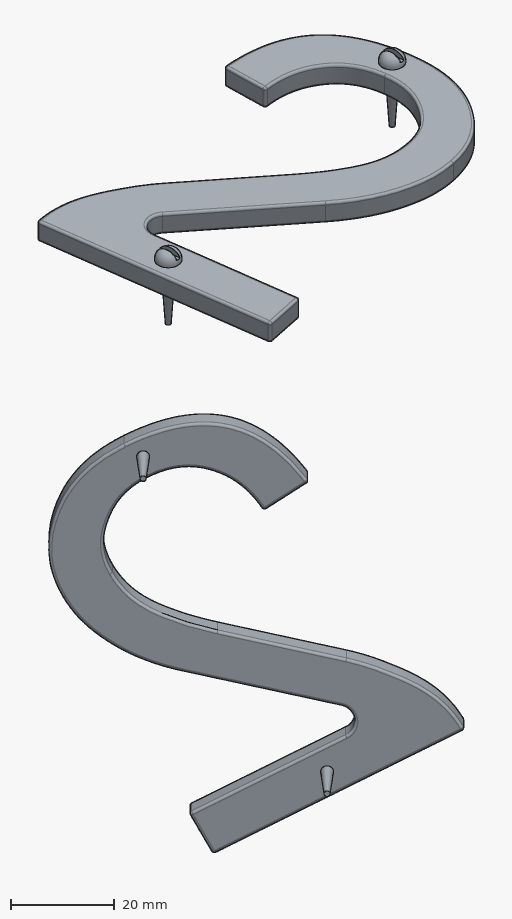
import cadquery as cq

WIDTH = 55.1
HEIGHT = 83.7
THICKNESS = 5.0
FOOT_HEIGHT = 9.8
CROTCH_RADIUS = 3.35
EDGE_RADIUS = 0.6

OUTER_TOP = (29.55, HEIGHT)
OUTER_RIGHT = (WIDTH, 61.1)
INNER_TOP = (28.8, 75.3)
INNER_RIGHT = (44.3, 61.1)
TIP_OUTER = (1.9, 59.85)
TIP_INNER = (12.5, 58.7)
STEM_LOWER_TOP = (42.3, 36.6)
STEM_UPPER_TOP = (32.1, 40.8)
STEM_UPPER_BOTTOM = (13.05, 23.85)
CROTCH = (12.0, FOOT_HEIGHT)
SHARP_CORNERS = [(0, 0), (WIDTH, 0), (WIDTH, FOOT_HEIGHT), TIP_INNER, TIP_OUTER]

SCREW_X = WIDTH / 2
SCREW_HEIGHTS = (4.85, 79.7)
HEAD_RADIUS = 2.7
SLOT_WIDTH = 1.0
SLOT_FLOOR = 1.1
SHANK_RADIUS = 1.25
TIP_RADIUS = 0.6
SPIKE_LENGTH = 10.8

UP = (0, 1)
DOWN = (0, -1)
LEFT = (-1, 0)
RIGHT = (1, 0)


def direction(start, end):
    return (end[0] - start[0], end[1] - start[1])


def upright_edges(plate, corners):
    """Vertical edges of the plate that stand on the given outline corners."""
    found = plate.newObject([])
    for corner in corners:
        nearest = cq.selectors.NearestToPointSelector((*corner, THICKNESS / 2))
        found = found.add(plate.edges("|Z").edges(nearest))
    return found


def make_numeral():
    """Rounded-edge plate in the shape of a 2, with a through hole for each screw."""
    upper_stem = direction(STEM_UPPER_BOTTOM, STEM_UPPER_TOP)
    lower_stem = direction(STEM_LOWER_TOP, CROTCH)
    tip_in = (-0.05, -1)
    tip_out = (0.12, 1)
    outline = (
        cq.Workplane("XY")
        .spline([(0, 0), (6.5, 16.7), STEM_UPPER_BOTTOM], tangents=[UP, upper_stem])
        .lineTo(*STEM_UPPER_TOP)
        .spline([STEM_UPPER_TOP, (39.2, 48.05), INNER_RIGHT], tangents=[upper_stem, UP])
        .spline([INNER_RIGHT, (39.9, 71.0), INNER_TOP], tangents=[UP, LEFT])
        .spline([INNER_TOP, (17.25, 70.7), TIP_INNER], tangents=[LEFT, tip_in])
        .lineTo(*TIP_OUTER)
        .spline([TIP_OUTER, (8.45, 76.2), OUTER_TOP], tangents=[tip_out, RIGHT])
        .spline([OUTER_TOP, (49.05, 76.2), OUTER_RIGHT], tangents=[RIGHT, DOWN])
        .spline([OUTER_RIGHT, (53.0, 51.1), STEM_LOWER_TOP], tangents=[DOWN, lower_stem])
        .lineTo(*CROTCH)
        .lineTo(WIDTH, FOOT_HEIGHT)
        .lineTo(WIDTH, 0)
        .close()
    )
    plate = outline.extrude(THICKNESS)
    plate = upright_edges(plate, [CROTCH]).fillet(CROTCH_RADIUS)
    rims = plate.faces("|Z").edges()
    plate = rims.add(upright_edges(plate, SHARP_CORNERS)).fillet(EDGE_RADIUS)
    holes = (
        cq.Workplane("XY")
        .pushPoints([(SCREW_X, y) for y in SCREW_HEIGHTS])
        .circle(SHANK_RADIUS)
        .extrude(THICKNESS)
    )
    return plate.cut(holes)


def make_screw(y):
    """Slotted round-head screw with a straight shank in the plate and a tapered spike behind it."""
    dome_end = HEAD_RADIUS * 0.5**0.5
    screw = (
        cq.Workplane("XZ")
        .moveTo(0, -SPIKE_LENGTH)
        .lineTo(TIP_RADIUS, -SPIKE_LENGTH)
        .lineTo(SHANK_RADIUS, 0)
        .lineTo(SHANK_RADIUS, THICKNESS)
        .lineTo(HEAD_RADIUS, THICKNESS)
        .threePointArc((dome_end, THICKNESS + dome_end), (0, THICKNESS + HEAD_RADIUS))
        .close()
        .revolve(360, (0, 0, 0), (0, 1, 0))
    )
    slot = (
        cq.Workplane("XY", origin=(0, 0, THICKNESS + SLOT_FLOOR))
        .rect(2 * HEAD_RADIUS, SLOT_WIDTH)
        .extrude(HEAD_RADIUS)
    )
    return screw.cut(slot).translate((SCREW_X, y, 0))


numeral = make_numeral()
screws = [make_screw(y) for y in SCREW_HEIGHTS]

result = cq.Compound.makeCompound([numeral.val(), *[screw.val() for screw in screws]])